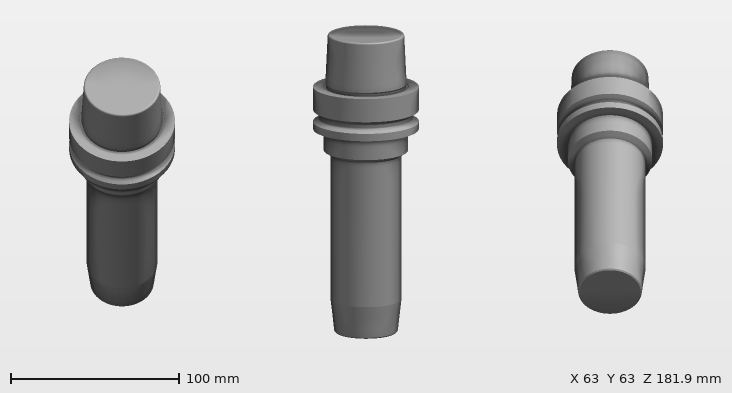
import cadquery as cq
import math

total_length = 181.9
flange_radius = 31.5
shoulder_radius = 25.1
shank_radius = 21.1

tip_radius = 19.0
taper_length = 20.0
tip_chamfer = 0.7

shoulder_chamfer_bottom = 108.5
shoulder_chamfer_top = 111.0

flange_bottom = 124.0
flange_top = 149.9
groove_bottom = 128.6
groove_top = 135.7
groove_floor_radius = 27.8
groove_wall_angle = 30.0
groove_fillet = 1.0
groove_wall_rise = (flange_radius - groove_floor_radius) * math.tan(math.radians(groove_wall_angle))

cone_bottom = 151.9
cone_bottom_radius = 24.2
cone_top_radius = 22.7
cone_top_fillet = 1.1
neck_radius = 23.6
neck_top = 151.0
recess_radius = 25.5
recess_depth = 0.5


def make_body():
    """Revolve the stepped half profile about Z."""
    points = [
        (0, 0),
        (tip_radius - tip_chamfer, 0),
        (tip_radius, tip_chamfer),
        (shank_radius, taper_length),
        (shank_radius, shoulder_chamfer_bottom),
        (shoulder_radius, shoulder_chamfer_top),
        (shoulder_radius, flange_bottom),
        (flange_radius, flange_bottom),
        (flange_radius, flange_top),
        (recess_radius, flange_top),
        (recess_radius, flange_top - recess_depth),
        (neck_radius, flange_top - recess_depth),
        (neck_radius, neck_top),
        (cone_bottom_radius, cone_bottom),
        (cone_top_radius, total_length),
        (0, total_length),
    ]
    body = cq.Workplane("XZ").polyline(points).close().revolve(360, (0, 0, 0), (0, 1, 0))
    return body.faces(">Z").edges().fillet(cone_top_fillet)


def make_groove():
    """Ring that cuts the gripper groove, with its floor corners rounded."""
    profile = [
        (flange_radius, groove_bottom),
        (groove_floor_radius, groove_bottom + groove_wall_rise),
        (groove_floor_radius, groove_top - groove_wall_rise),
        (flange_radius, groove_top),
    ]
    ring = cq.Workplane("XZ").polyline(profile).close().revolve(360, (0, 0, 0), (0, 1, 0))
    floor_edges = cq.selectors.RadiusNthSelector(0)
    return ring.edges("%CIRCLE").edges(floor_edges).fillet(groove_fillet)


result = make_body().cut(make_groove())